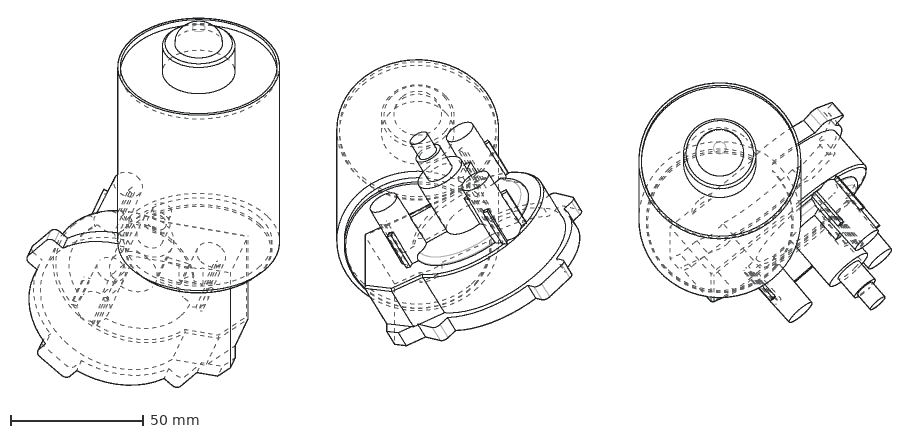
import cadquery as cq
import math


motor_x = 30.5
can_radius = 30.7
can_bottom = 32.3
can_top = 115.3
rim_width = 1.0
rim_depth = 2.5
flange_radius = 27.8
flange_bottom = 28.7
flange_chamfer = 0.5
neck_radius = 11.7
neck_bottom = 21.1
cap_radius = 13.7
cap_top = 126.2
cap_chamfer = 1.0
dome_radius = 9.0
dome_flat_radius = 2.3
dome_top = 133.5

plate_front = -10.7
plate_back = -4.2
plate_radius = 33.4
plate_overhang = 15.6
plate_right = motor_x + plate_overhang
plate_bottom = -21.3
plate_chamfer = 5.0
lug_angles = (140.5, 230.5, 320.5)
lug_reach = 38.9
lug_width = 16.0
lug_fillet = 2.3

housing_radius = 30.7
housing_back = 14.2
housing_bottom = -22.1
housing_chamfer = 11.5
housing_edge_chamfer = 0.8
cover_radius = 24.6
cover_back = 16.8
cover_fillet = 2.0

boss_radius = 9.4
boss_back = 39.5
collar_radius = 5.2
collar_back = 49.1
shaft_radius = 3.7
shaft_back = 56.6

post_count = 3
post_first_angle = 111.0
post_circle_radius = 24.3
post_base_radius = 6.2
post_tip_radius = 5.7
post_front = housing_back - housing_edge_chamfer
post_back = 39.9
rib_thickness = 2.3
rib_back = 29.3
fins = ((-60.0, 8.2), (47.0, 7.5))
fin_thickness = 1.8
fin_back = 29.8


def outline_plane(y):
    """Plane across the gear axis at y: local x is X, local y is Z."""
    return cq.Workplane("XZ", origin=(0, y, 0))


def along_y(outline, front, back):
    """Extrude an outline drawn on outline_plane(front) back to y = back."""
    return outline.extrude(front - back)


def gear_disc(radius, front, back, x=0.0, z=0.0):
    return along_y(outline_plane(front).center(x, z).circle(radius), front, back)


def motor_disc(radius, bottom, top):
    return cq.Workplane("XY", origin=(motor_x, 0, bottom)).circle(radius).extrude(top - bottom)


def radial_bar(length, thickness, angle, front, back, x=0.0, z=0.0):
    """Flat bar that starts at (x, z) and runs outward at the given angle."""
    outline = (
        outline_plane(front)
        .center(x, z)
        .transformed(rotate=(0, 0, angle))
        .center(length / 2, 0)
        .rect(length, thickness)
    )
    return along_y(outline, front, back)


def corner_block(bottom, chamfer, front, back):
    """Block from the gear axis to under the motor, with its lower outer corner cut off."""
    outline = (
        outline_plane(front)
        .moveTo(0, flange_bottom)
        .lineTo(plate_right, flange_bottom)
        .lineTo(plate_right, bottom + chamfer)
        .lineTo(plate_right - chamfer, bottom)
        .lineTo(0, bottom)
        .close()
    )
    return along_y(outline, front, back)


def motor():
    can = motor_disc(can_radius, can_bottom, can_top)
    can = can.cut(motor_disc(can_radius - rim_width, can_top - rim_depth, can_top))
    cap = motor_disc(cap_radius, can_top - rim_depth, cap_top).faces(">Z").chamfer(cap_chamfer)
    flange = motor_disc(flange_radius, flange_bottom, can_bottom).faces("<Z").chamfer(flange_chamfer)
    neck = motor_disc(neck_radius, neck_bottom, flange_bottom)
    return can.union(cap).union(dome()).union(flange).union(neck)


def dome():
    """Flat-topped dome: a circular arc turned around the motor axis."""
    arc_width = dome_radius - dome_flat_radius
    arc_height = dome_top - cap_top
    middle = (
        dome_flat_radius + arc_width * math.cos(math.radians(45)),
        cap_top + arc_height * math.sin(math.radians(45)),
    )
    profile = (
        cq.Workplane("XZ", origin=(motor_x, 0, 0))
        .moveTo(0, cap_top)
        .lineTo(dome_radius, cap_top)
        .threePointArc(middle, (dome_flat_radius, dome_top))
        .lineTo(0, dome_top)
        .close()
    )
    return profile.revolve(360, (0, 0), (0, 1))


def mounting_plate():
    plate = gear_disc(plate_radius, plate_front, plate_back)
    for angle in lug_angles:
        lug = radial_bar(lug_reach, lug_width, 0, plate_front, plate_back)
        lug = lug.edges("|Y and >X").fillet(lug_fillet)
        plate = plate.union(lug.rotate((0, 0, 0), (0, 1, 0), -angle))
    return plate.union(corner_block(plate_bottom, plate_chamfer, plate_front, plate_back))


def gear_housing():
    housing = gear_disc(housing_radius, plate_back, housing_back)
    housing = housing.union(corner_block(housing_bottom, housing_chamfer, plate_back, housing_back))
    housing = housing.faces(">Y").chamfer(housing_edge_chamfer)
    cover = gear_disc(cover_radius, plate_back, cover_back).faces(">Y").edges().fillet(cover_fillet)
    return housing.union(cover)


def output_shaft():
    boss = gear_disc(boss_radius, plate_back, boss_back)
    collar = gear_disc(collar_radius, boss_back, collar_back)
    shaft = gear_disc(shaft_radius, collar_back, shaft_back)
    return boss.union(collar).union(shaft)


def post(angle):
    x = post_circle_radius * math.cos(math.radians(angle))
    z = post_circle_radius * math.sin(math.radians(angle))
    body = (
        outline_plane(post_front)
        .center(x, z)
        .circle(post_base_radius)
        .workplane(offset=post_front - post_back)
        .circle(post_tip_radius)
        .loft(ruled=True)
    )
    body = body.union(radial_bar(post_circle_radius, rib_thickness, angle, plate_back, rib_back))
    for fin_angle, fin_length in fins:
        fin = radial_bar(fin_length, fin_thickness, angle + fin_angle, plate_back, fin_back, x, z)
        body = body.union(fin)
    return body


result = motor().union(mounting_plate()).union(gear_housing()).union(output_shaft())
for index in range(post_count):
    result = result.union(post(post_first_angle + index * 360 / post_count))